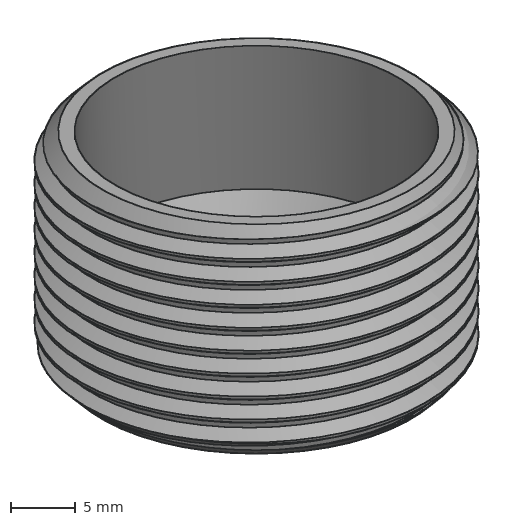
import cadquery as cq
import math

height = 20.0
outer_radius = 17.1
end_radius = 15.25
end_chamfer = outer_radius - end_radius

bore_radius = 28.0 / 2
floor_radius = 10.5
floor_z = 4.0
bore_bottom_z = floor_z + bore_radius - floor_radius

hole_radius = 5.0 / 2
countersink_radius = 4.48
countersink_bottom_z = floor_z - (countersink_radius - hole_radius)

pitch = height / 10
crest_flat = pitch / 8
thread_depth = 1.15
flank_slope = math.tan(math.radians(30))
groove_z = 1.15
cutter_overlap = 0.1
first_turn = -1
last_turn = 9


def make_cup():
    """Revolve the chamfered blank with its bore, cone and countersunk hole."""
    profile = [
        (hole_radius, 0),
        (end_radius, 0),
        (outer_radius, end_chamfer),
        (outer_radius, height - end_chamfer),
        (end_radius, height),
        (bore_radius, height),
        (bore_radius, bore_bottom_z),
        (floor_radius, floor_z),
        (countersink_radius, floor_z),
        (hole_radius, countersink_bottom_z),
    ]
    return cq.Workplane("XZ").polyline(profile).close().revolve(360, (0, 0, 0), (0, 1, 0))


def make_groove_turn(turn):
    """Sweep the trapezoidal groove along one full turn of the helix."""
    start_z = groove_z + turn * pitch
    root_radius = outer_radius - thread_depth
    cutter_radius = outer_radius + cutter_overlap
    mouth_half = (pitch - crest_flat) / 2
    root_half = mouth_half - thread_depth * flank_slope
    cutter_half = mouth_half + cutter_overlap * flank_slope
    helix = cq.Wire.makeHelix(pitch, pitch, root_radius).translate(cq.Vector(0, 0, start_z))
    section = [
        (root_radius, start_z - root_half),
        (cutter_radius, start_z - cutter_half),
        (cutter_radius, start_z + cutter_half),
        (root_radius, start_z + root_half),
    ]
    return cq.Workplane("XZ").polyline(section).close().sweep(cq.Workplane(helix), isFrenet=True)


result = make_cup()
for turn in range(first_turn, last_turn + 1):
    result = result.cut(make_groove_turn(turn))